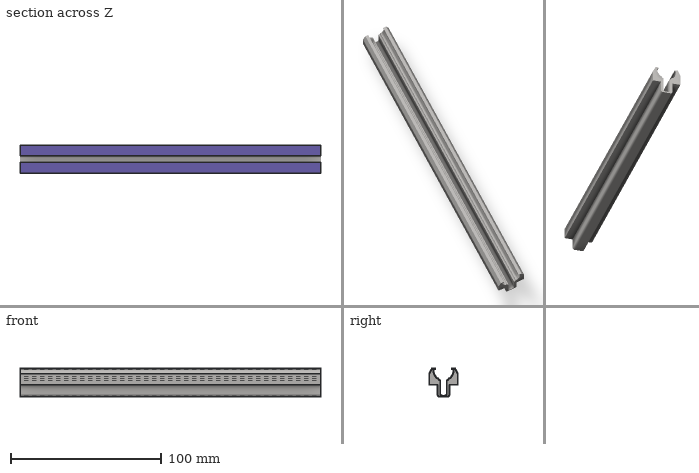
import cadquery as cq
import math

length = 200.0
width = 19.0
height = 19.0

stem_width = 8.0
slot_width = 4.2
floor_thickness = 0.8
stem_corner_radius = 1.5
slot_corner_radius = 1.2

shoulder_z = 8.0
bevel_width = 1.8
bevel_height = 3.5
lip_gap = 11.2
lip_thickness = 0.8

wall_top = (6.5, height - lip_thickness)
upper_ridge = (5.2, 13.5)
lower_ridge = (3.5, 12.5)
slot_mouth = (slot_width / 2, 11.0)
upper_scallop_depth = 0.5
lower_scallop_depth = 0.5


def scallop_middle(start, end, depth):
    """Middle point of a concave arc, sunk by depth from its chord into the jaw."""
    run_y = end[0] - start[0]
    run_z = end[1] - start[1]
    chord = math.hypot(run_y, run_z)
    return (
        (start[0] + end[0]) / 2 - depth * run_z / chord,
        (start[1] + end[1]) / 2 + depth * run_y / chord,
    )


def make_half():
    """Half of the rail on the +Y side of the middle plane."""
    profile = (
        cq.Workplane("YZ")
        .workplane(offset=-length / 2)
        .moveTo(0, 0)
        .lineTo(stem_width / 2 - stem_corner_radius, 0)
        .radiusArc((stem_width / 2, stem_corner_radius), -stem_corner_radius)
        .lineTo(stem_width / 2, shoulder_z)
        .lineTo(width / 2, shoulder_z)
        .lineTo(width / 2, height - bevel_height)
        .lineTo(width / 2 - bevel_width, height)
        .lineTo(lip_gap / 2, height)
        .lineTo(lip_gap / 2, height - lip_thickness)
        .lineTo(*wall_top)
    )
    scallops = [
        (wall_top, upper_ridge, upper_scallop_depth),
        (upper_ridge, lower_ridge, lower_scallop_depth),
        (lower_ridge, slot_mouth, lower_scallop_depth),
    ]
    for start, end, depth in scallops:
        profile = profile.threePointArc(scallop_middle(start, end, depth), end)
    return (
        profile
        .lineTo(slot_width / 2, floor_thickness + slot_corner_radius)
        .radiusArc((slot_width / 2 - slot_corner_radius, floor_thickness), slot_corner_radius)
        .lineTo(0, floor_thickness)
        .close()
        .extrude(length)
    )


half = make_half()
result = half.union(half.mirror("XZ")).clean()